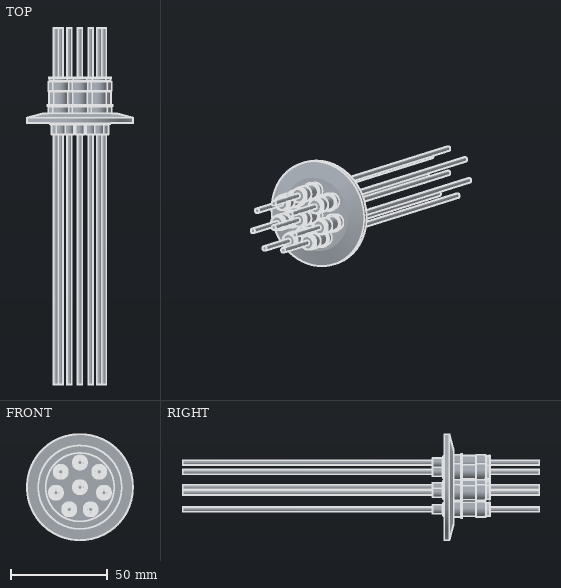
import cadquery as cq
import math

flange_radius = 27.5
rim_width = 2.8
flange_thickness = 5.0
clamp_angle = 15
ring_groove_outer_radius = 21.5
ring_groove_inner_radius = 17.7
ring_groove_depth = 3.0

ring_lead_count = 7
ring_radius = 12.7

rod_radius = 1.3
rod_length = 184.2
rod_front = -135.0
rod_back = rod_front + rod_length

sleeve_radius = 2.4
sleeve_front = -6.0
sleeve_chamfer = 0.2
bead_base_radius = 3.7
bead_top_radius = 3.1
bead_shoulder = -0.5
bead_top = -1.0

body_radius = 3.7
seat_radius = 4.0
collar_radius = 4.6
collar_front = 8.8
collar_back = 9.4
collar_bevel = 0.4
band_radius = 4.0
band_front = 16.2
band_back = 21.4
band_chamfer = 0.4
groove_radius = 3.3
groove_back = 22.0
neck_radius = 3.5
lip_radius = 3.7
lip_front = 23.2
lip_back = 23.8
lip_chamfer = 0.2


def revolve_about_y(points):
    """Turn a closed outline of (radius, axial position) points about the Y axis."""
    return cq.Workplane("XY").polyline(points).close().revolve(360, (0, 0, 0), (0, 1, 0))


def make_flange():
    """Disc with a tapered clamping face at the rear and a ring groove in its front face."""
    taper_width = (flange_thickness - rim_width) / math.tan(math.radians(clamp_angle))
    return revolve_about_y([
        (0, 0),
        (ring_groove_inner_radius, 0),
        (ring_groove_inner_radius, ring_groove_depth),
        (ring_groove_outer_radius, ring_groove_depth),
        (ring_groove_outer_radius, 0),
        (flange_radius, 0),
        (flange_radius, rim_width),
        (flange_radius - taper_width, flange_thickness),
        (0, flange_thickness),
    ])


def make_lead():
    """Rod, front sleeve and rear insulator as one turned piece passing through the flange."""
    return revolve_about_y([
        (0, rod_front),
        (rod_radius, rod_front),
        (rod_radius, sleeve_front),
        (sleeve_radius - sleeve_chamfer, sleeve_front),
        (sleeve_radius, sleeve_front + sleeve_chamfer),
        (sleeve_radius, bead_top),
        (bead_top_radius, bead_shoulder),
        (bead_base_radius, 0),
        (seat_radius, flange_thickness),
        (seat_radius, collar_front - collar_bevel),
        (collar_radius, collar_front),
        (collar_radius, collar_back),
        (body_radius, collar_back),
        (body_radius, band_front),
        (band_radius, band_front + band_chamfer),
        (band_radius, band_back),
        (groove_radius, band_back),
        (groove_radius, groove_back),
        (neck_radius, groove_back),
        (neck_radius, lip_front),
        (lip_radius, lip_front),
        (lip_radius, lip_back - lip_chamfer),
        (lip_radius - lip_chamfer, lip_back),
        (rod_radius, lip_back),
        (rod_radius, rod_back),
        (0, rod_back),
    ])


lead = make_lead()
result = make_flange().union(lead)
for index in range(ring_lead_count):
    angle = math.radians(90 + index * 360 / ring_lead_count)
    place = (ring_radius * math.cos(angle), 0, ring_radius * math.sin(angle))
    result = result.union(lead.translate(place))